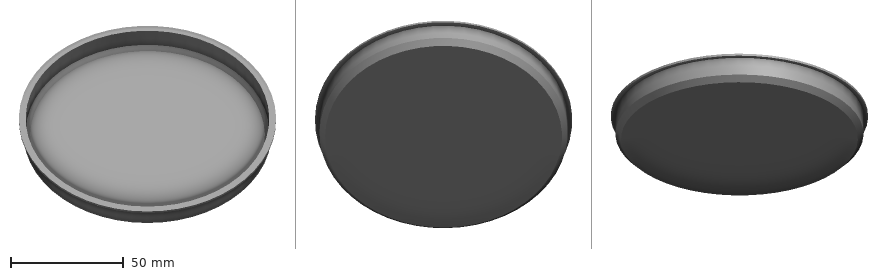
import cadquery as cq

rim_diameter = 114.0
body_diameter = 110.0
bore_diameter = 108.0
height = 12.0

thickness = (body_diameter - bore_diameter) / 2

outer_bevel = 2.5
inner_bevel = 1.9

body = cq.Workplane("XY").circle(body_diameter / 2).extrude(height)
body = body.faces("<Z").edges().chamfer(outer_bevel)

rim = (
    cq.Workplane("XY")
    .workplane(offset=height - thickness)
    .circle(rim_diameter / 2)
    .extrude(thickness)
)

cavity = (
    cq.Workplane("XY")
    .workplane(offset=thickness)
    .circle(bore_diameter / 2)
    .extrude(height - thickness)
)
cavity = cavity.faces("<Z").edges().chamfer(inner_bevel)

result = body.union(rim).cut(cavity)